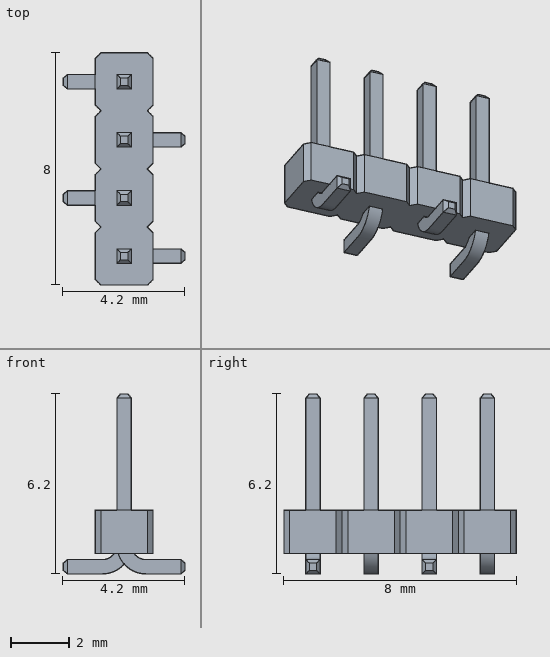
import cadquery as cq
import math


pin_count = 4
pitch = 2.0
body_width = 2.0
body_height = 1.5
corner_cut = 0.2

pin_size = 0.5
pin_above_body = 4.0
foot_drop = 0.7
foot_reach = 2.1
inner_bend_radius = 0.5
tip_length = 0.15
tip_inset = 0.125

body_length = pin_count * pitch
half_pin = pin_size / 2
pin_top = body_height + pin_above_body
shaft_top = pin_top - tip_length
foot_end = foot_reach - tip_length
foot_bottom = -foot_drop
foot_top = foot_bottom + pin_size
outer_bend_radius = inner_bend_radius + pin_size
bend_x = half_pin + inner_bend_radius
bend_z = foot_top + inner_bend_radius
tip_taper = math.degrees(math.atan(tip_inset / tip_length))


def make_body_cell(y):
    """One pitch of the body: a block with its four vertical edges cut off."""
    return (
        cq.Workplane("XY")
        .center(0, y)
        .rect(body_width, pitch)
        .extrude(body_height)
        .edges("|Z")
        .chamfer(corner_cut)
    )


def make_tip(origin, direction):
    """Tapered square end that continues a pin from origin along direction."""
    plane = cq.Plane(origin=origin, xDir=(0, 1, 0), normal=direction)
    return (
        cq.Workplane(plane)
        .rect(pin_size, pin_size)
        .extrude(tip_length, taper=tip_taper)
    )


def make_pin():
    """Pin centred on the Z axis with its foot pointing toward +X."""
    diagonal = math.sqrt(0.5)
    outer_middle = (bend_x - outer_bend_radius * diagonal, bend_z - outer_bend_radius * diagonal)
    inner_middle = (bend_x - inner_bend_radius * diagonal, bend_z - inner_bend_radius * diagonal)
    bar = (
        cq.Workplane("XZ")
        .moveTo(-half_pin, shaft_top)
        .lineTo(-half_pin, bend_z)
        .threePointArc(outer_middle, (bend_x, foot_bottom))
        .lineTo(foot_end, foot_bottom)
        .lineTo(foot_end, foot_top)
        .lineTo(bend_x, foot_top)
        .threePointArc(inner_middle, (half_pin, bend_z))
        .lineTo(half_pin, shaft_top)
        .close()
        .extrude(half_pin, both=True)
    )
    upper_tip = make_tip((0, 0, shaft_top), (0, 0, 1))
    foot_tip = make_tip((foot_end, 0, foot_bottom + half_pin), (1, 0, 0))
    return bar.union(upper_tip).union(foot_tip)


right_pin = make_pin()
left_pin = right_pin.rotate((0, 0, 0), (0, 0, 1), 180)

pin_places = [(index - (pin_count - 1) / 2) * pitch for index in range(pin_count)]

body = make_body_cell(pin_places[0])
for y in pin_places[1:]:
    body = body.union(make_body_cell(y))
body = body.clean()

result = body
for index, y in enumerate(pin_places):
    pin = right_pin if index % 2 == 0 else left_pin
    result = result.union(pin.translate((0, y, 0)))